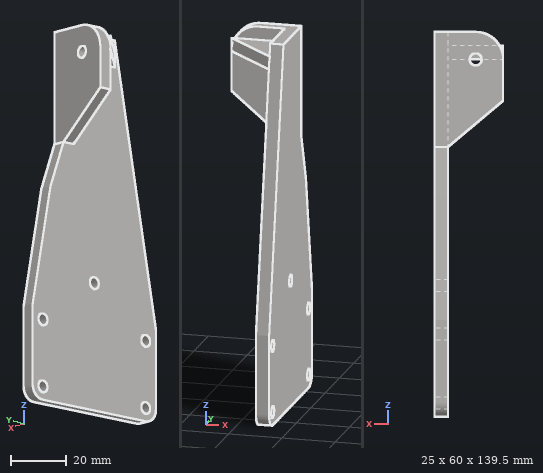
import cadquery as cq
import math

wall = 5.0
height = 139.5
base_width = 60.0
base_height = 35.0
top_width = 20.0
corner_radius = 5.0
hole_diameter = 4.35

flange_reach = 20.0
flange_corner_radius = 10.0
flange_outer_length = 25.0
flange_slope_angle = 40.0
shelf_drop = 5.0

base_hole_inset = 5.0
base_hole_rise = 25.0
center_hole_z = 47.5
shoulder_z = 80.0

half_base = base_width / 2
half_top = top_width / 2
flange_inner_y = half_top
flange_outer_y = flange_inner_y + wall
flange_outer_z = height - flange_outer_length
flange_root_z = flange_outer_z - flange_reach * math.tan(math.radians(flange_slope_angle))
shelf_bottom_z = height - shelf_drop - wall
taper = (half_base - half_top) / (height - base_height)
shoulder_y = half_base - taper * (shoulder_z - base_height)


def make_plate():
    """Tapered upright plate with rounded lower corners."""
    outline = [
        (-half_base, 0),
        (half_base, 0),
        (half_base, base_height),
        (shoulder_y, shoulder_z),
        (flange_outer_y, flange_root_z),
        (flange_outer_y, height),
        (-half_top, height),
        (-half_base, base_height),
    ]
    plate = cq.Workplane("YZ").polyline(outline).close().extrude(wall)
    return plate.edges("|X and <Z").fillet(corner_radius)


def make_flange():
    """Side flange with a rounded upper corner and a sloping lower edge."""
    flange = (
        cq.Workplane("XZ", origin=(0, flange_outer_y, 0))
        .moveTo(wall, height)
        .lineTo(flange_corner_radius - flange_reach, height)
        .radiusArc((-flange_reach, height - flange_corner_radius), -flange_corner_radius)
        .lineTo(-flange_reach, flange_outer_z)
        .lineTo(0, flange_root_z)
        .lineTo(wall, flange_root_z)
        .close()
        .extrude(wall)
    )
    return flange


def make_shelf():
    """Triangular shelf bracing the flange against the plate."""
    corners = [
        (-flange_reach, flange_inner_y),
        (0, flange_inner_y),
        (0, flange_inner_y - flange_reach),
    ]
    return cq.Workplane("XY", origin=(0, 0, shelf_bottom_z)).polyline(corners).close().extrude(wall)


def make_plate_holes():
    """Four corner holes in the base and one on the centre line above them."""
    hole_y = half_base - base_hole_inset
    centers = [(0, center_hole_z)]
    for z in (base_hole_inset, base_hole_inset + base_hole_rise):
        for side in (-1, 1):
            centers.append((side * hole_y, z))
    return cq.Workplane("YZ").pushPoints(centers).circle(hole_diameter / 2).extrude(wall)


def make_flange_hole():
    """Hole through the flange, centred on the underside of the shelf."""
    return (
        cq.Workplane("XZ", origin=(0, flange_outer_y, 0))
        .center(-flange_reach / 2, shelf_bottom_z)
        .circle(hole_diameter / 2)
        .extrude(wall)
    )


walls = make_plate().union(make_flange())
walls = walls.cut(make_plate_holes()).cut(make_flange_hole())
result = walls.union(make_shelf())